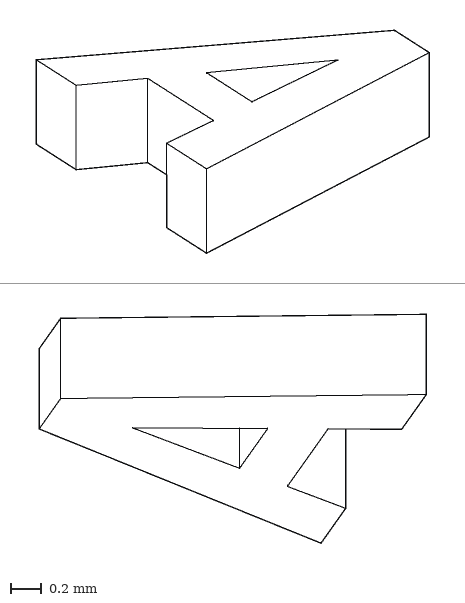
import cadquery as cq

width = 2.09
height = 2.23
thickness = 0.6

top_width = 0.428
foot_width = 0.49

notch_height = 0.455
notch_top_width = 0.807

window_base_y = 0.827
window_apex_y = 1.661
window_base_width = 0.558

half_width = width / 2
half_top = top_width / 2
half_notch_bottom = half_width - foot_width
half_notch_top = notch_top_width / 2
half_window = window_base_width / 2

outline = [
    (-half_width, 0),
    (-half_notch_bottom, 0),
    (-half_notch_top, notch_height),
    (half_notch_top, notch_height),
    (half_notch_bottom, 0),
    (half_width, 0),
    (half_top, height),
    (-half_top, height),
]
window = [
    (-half_window, window_base_y),
    (half_window, window_base_y),
    (0, window_apex_y),
]

result = (
    cq.Workplane("XY")
    .polyline(outline)
    .close()
    .polyline(window)
    .close()
    .extrude(thickness)
)